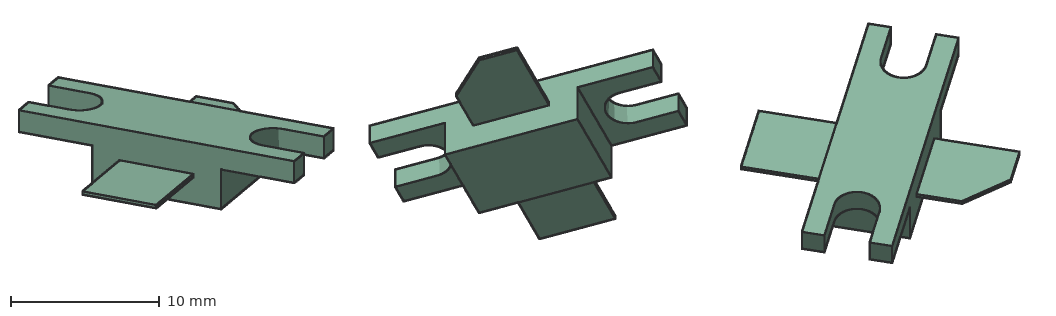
import cadquery as cq

flange_length = 20.5
flange_width = 6.23
flange_thickness = 1.6
slot_width = flange_width / 2
slot_depth = 4.6

body_length = 9.6
body_height = 2.91

lead_span = 18.0
lead_width = 5.5
lead_thickness = 0.25
lead_chamfer = lead_width / 2
lead_top = 2.21


def block(length, width, height, bottom):
    """Box centred on the Z axis, standing at the given height above the body's underside."""
    return cq.Workplane("XY").workplane(offset=bottom).rect(length, width).extrude(height)


def end_slots():
    """Two through slots, one running in from each end of the flange."""
    return (
        cq.Workplane("XY")
        .workplane(offset=body_height)
        .pushPoints([(-flange_length / 2, 0), (flange_length / 2, 0)])
        .slot2D(2 * slot_depth, slot_width)
        .extrude(flange_thickness)
    )


def leads():
    """Both leads as one strip through the body, with the +X +Y corner cut off."""
    strip = block(lead_width, lead_span, lead_thickness, lead_top - lead_thickness)
    return strip.edges("|Z and >X and >Y").chamfer(lead_chamfer)


flange = block(flange_length, flange_width, flange_thickness, body_height).cut(end_slots())
body = block(body_length, flange_width, body_height, 0)

result = flange.union(body).union(leads())